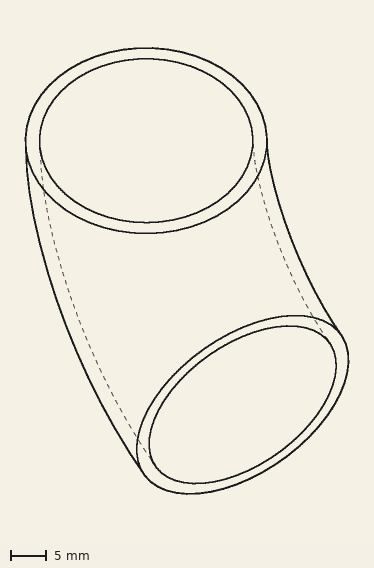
import cadquery as cq

overall_size = 44.85
outer_diameter = 33.7
wall_thickness = 1.97
bend_angle = 90.0

outer_radius = outer_diameter / 2
inner_radius = outer_radius - wall_thickness
bend_radius = overall_size - outer_radius

result = (
    cq.Workplane("XY")
    .circle(outer_radius)
    .circle(inner_radius)
    .revolve(bend_angle, (bend_radius, 0), (bend_radius, -1))
)